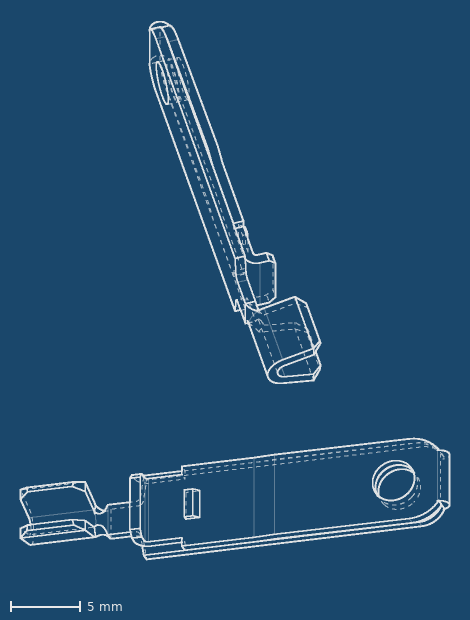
import cadquery as cq
import math


total_length = 31.35
sheet = 0.75
slit = 0.015
stack = 2 * sheet + slit
back_face = sheet + slit
half_width = 3.15

fold_depth = 0.7
fold_half_width = 2.0
plate_start = 0.55
front_corner_end = 2.25
back_corner_end = 2.75

hole_x = 3.95
hole_diameter = 3.13

shoulder_x = 22.88
shoulder_rake = 0.3
shoulder_fillet = 0.4
neck_half_width = 1.2
neck_end = 25.57

bow_height = 0.1
bow_peak_x = 12.85
bow_end_x = 14.42
back_step_x = 19.8
tab_end = 23.3
tab_top = 2.9
tab_half_width = 2.5
tab_chamfer = 0.47
bend_inner_radius = 0.22

catch_start = 18.45
catch_end = 19.5
catch_height = 0.4
catch_half_width = 1.05

barrel_start = 26.48
barrel_radius = 1.45
wing_flare = 12.5
wing_bevel_y = 3.45
wing_tip_y = 4.2
wing_tip_thickness = 0.4
wing_corner = 0.75

pinch_x = 25.98
pinch_radius = 1.57
pinch_angle = 38
mouth_angle = 60


def rounded_end_plate(corner_end, y_start, thickness):
    """Flat plate outline up to the rounded left corners, running right to the back step."""
    rise = half_width - fold_half_width
    run = corner_end - plate_start
    radius = (run ** 2 + rise ** 2) / (2 * rise)
    outline = (
        cq.Workplane("XZ", origin=(0, y_start, 0))
        .moveTo(fold_depth, -fold_half_width)
        .lineTo(plate_start, -fold_half_width)
        .radiusArc((corner_end, -half_width), -radius)
        .lineTo(back_step_x, -half_width)
        .lineTo(back_step_x, half_width)
        .lineTo(corner_end, half_width)
        .radiusArc((plate_start, fold_half_width), -radius)
        .lineTo(fold_depth, fold_half_width)
        .close()
    )
    return outline.extrude(-thickness)


def shoulder_and_neck():
    """Right end of the front layer: raked shoulders running into the narrow neck strip."""
    root_x = shoulder_x + shoulder_rake
    shape = (
        cq.Workplane("XZ")
        .moveTo(back_step_x, -half_width)
        .lineTo(shoulder_x, -half_width)
        .lineTo(root_x, -neck_half_width)
        .lineTo(neck_end, -neck_half_width)
        .lineTo(neck_end, neck_half_width)
        .lineTo(root_x, neck_half_width)
        .lineTo(shoulder_x, half_width)
        .lineTo(back_step_x, half_width)
        .close()
        .extrude(-sheet)
    )
    inner_corners = cq.selectors.BoxSelector(
        (root_x - sheet / 2, -sheet, -tab_half_width), (root_x + sheet / 2, 2 * sheet, tab_half_width)
    )
    return shape.edges("|Y").edges(inner_corners).fillet(shoulder_fillet)


def fold():
    """Rounded bend joining the two layers."""
    middle = stack / 2
    bend = (
        cq.Workplane("XY")
        .moveTo(fold_depth, 0)
        .threePointArc((0, middle), (fold_depth, stack))
        .lineTo(fold_depth, back_face)
        .threePointArc((fold_depth - slit / 2, middle), (fold_depth, sheet))
        .close()
    )
    return bend.extrude(fold_half_width, both=True)


def back_strip():
    """Bowed back layer with its end bent up into the tab, at full plate width."""
    bend_outer_radius = bend_inner_radius + sheet
    tab_inner = tab_end - sheet
    profile = (
        cq.Workplane("XY")
        .moveTo(plate_start, back_face)
        .lineTo(fold_depth, back_face)
        .lineTo(bow_peak_x, back_face + bow_height)
        .lineTo(bow_end_x, back_face)
        .lineTo(tab_end - bend_outer_radius, back_face)
        .radiusArc((tab_end, back_face + bend_outer_radius), -bend_outer_radius)
        .lineTo(tab_end, tab_top)
        .lineTo(tab_inner, tab_top)
        .lineTo(tab_inner, stack + bend_inner_radius)
        .radiusArc((tab_inner - bend_inner_radius, stack), bend_inner_radius)
        .lineTo(bow_end_x, stack)
        .lineTo(bow_peak_x, stack + bow_height)
        .lineTo(fold_depth, stack)
        .lineTo(plate_start, stack)
        .close()
    )
    return profile.extrude(half_width, both=True)


def back_layer():
    """Bowed strip trimmed to the rounded plate and to the narrower chamfered tab."""
    plate_trim = rounded_end_plate(back_corner_end, back_face, sheet + bow_height)
    tab_trim = (
        cq.Workplane("YZ", origin=(back_step_x, 0, 0))
        .moveTo(back_face, -tab_half_width)
        .lineTo(tab_top - tab_chamfer, -tab_half_width)
        .lineTo(tab_top, -tab_half_width + tab_chamfer)
        .lineTo(tab_top, tab_half_width - tab_chamfer)
        .lineTo(tab_top - tab_chamfer, tab_half_width)
        .lineTo(back_face, tab_half_width)
        .close()
        .extrude(tab_end - back_step_x)
    )
    return back_strip().intersect(plate_trim.union(tab_trim))


def catch():
    """Ramped catch standing on the back layer."""
    profile = (
        cq.Workplane("XY")
        .moveTo(catch_start, stack)
        .lineTo(catch_start + catch_height, stack + catch_height)
        .lineTo(catch_end, stack + catch_height)
        .lineTo(catch_end, stack - sheet / 2)
        .lineTo(catch_start, stack - sheet / 2)
        .close()
    )
    return profile.extrude(catch_half_width, both=True)


def on_arc(radius, centre_y, degrees):
    """(Y, Z) of a point on an arc, measured from its lowest point."""
    angle = math.radians(degrees)
    return centre_y - radius * math.cos(angle), radius * math.sin(angle)


def channel_section(x, radius, half_angle):
    """Closed arched strip one sheet thick, lowest point at Y = 0."""
    inner = radius - sheet
    return (
        cq.Workplane("YZ", origin=(x, 0, 0))
        .moveTo(*on_arc(radius, radius, -half_angle))
        .threePointArc((0, 0), on_arc(radius, radius, half_angle))
        .lineTo(*on_arc(inner, radius, half_angle))
        .threePointArc((sheet, 0), on_arc(inner, radius, -half_angle))
        .close()
        .val()
    )


def transition():
    """Flat neck strip curling up into the barrel floor."""
    flat = (
        cq.Workplane("YZ", origin=(neck_end, 0, 0))
        .moveTo(0, -neck_half_width)
        .lineTo(0, neck_half_width)
        .lineTo(sheet, neck_half_width)
        .lineTo(sheet, -neck_half_width)
        .close()
        .val()
    )
    pinch = channel_section(pinch_x, pinch_radius, pinch_angle)
    mouth = channel_section(barrel_start, barrel_radius, mouth_angle)
    return cq.Workplane(cq.Solid.makeLoft([flat, pinch, mouth]))


def barrel():
    """Open crimp barrel: round floor and two flared wings thinned at the tips."""
    flare = math.radians(wing_flare)
    inner_radius = barrel_radius - sheet
    outer_y, outer_z = on_arc(barrel_radius, barrel_radius, 90 - wing_flare)
    inner_y, inner_z = on_arc(inner_radius, barrel_radius, 90 - wing_flare)
    bevel_z = outer_z + (wing_bevel_y - outer_y) * math.tan(flare)
    tip_z = inner_z + (wing_tip_y - inner_y) * math.tan(flare)
    tip_outer_y = wing_tip_y - wing_tip_thickness * math.sin(flare)
    tip_outer_z = tip_z + wing_tip_thickness * math.cos(flare)
    trough = (
        cq.Workplane("YZ", origin=(barrel_start, 0, 0))
        .moveTo(outer_y, -outer_z)
        .threePointArc((0, 0), (outer_y, outer_z))
        .lineTo(wing_bevel_y, bevel_z)
        .lineTo(tip_outer_y, tip_outer_z)
        .lineTo(wing_tip_y, tip_z)
        .lineTo(inner_y, inner_z)
        .threePointArc((sheet, 0), (inner_y, -inner_z))
        .lineTo(wing_tip_y, -tip_z)
        .lineTo(tip_outer_y, -tip_outer_z)
        .lineTo(wing_bevel_y, -bevel_z)
        .close()
        .extrude(total_length - barrel_start)
    )
    side_trim = (
        cq.Workplane("XY")
        .moveTo(barrel_start, 0)
        .lineTo(total_length, 0)
        .lineTo(total_length, wing_tip_y - wing_corner)
        .lineTo(total_length - wing_corner, wing_tip_y)
        .lineTo(barrel_start + wing_corner, wing_tip_y)
        .lineTo(barrel_start, wing_tip_y - wing_corner)
        .close()
        .extrude(half_width, both=True)
    )
    return trough.intersect(side_trim)


front_layer = rounded_end_plate(front_corner_end, 0, sheet).union(shoulder_and_neck())
cross_hole = (
    cq.Workplane("XZ")
    .center(hole_x, 0)
    .circle(hole_diameter / 2)
    .extrude(-(stack + bow_height))
)

result = (
    front_layer.union(fold())
    .union(back_layer())
    .union(catch())
    .union(transition())
    .union(barrel())
    .cut(cross_hole)
)